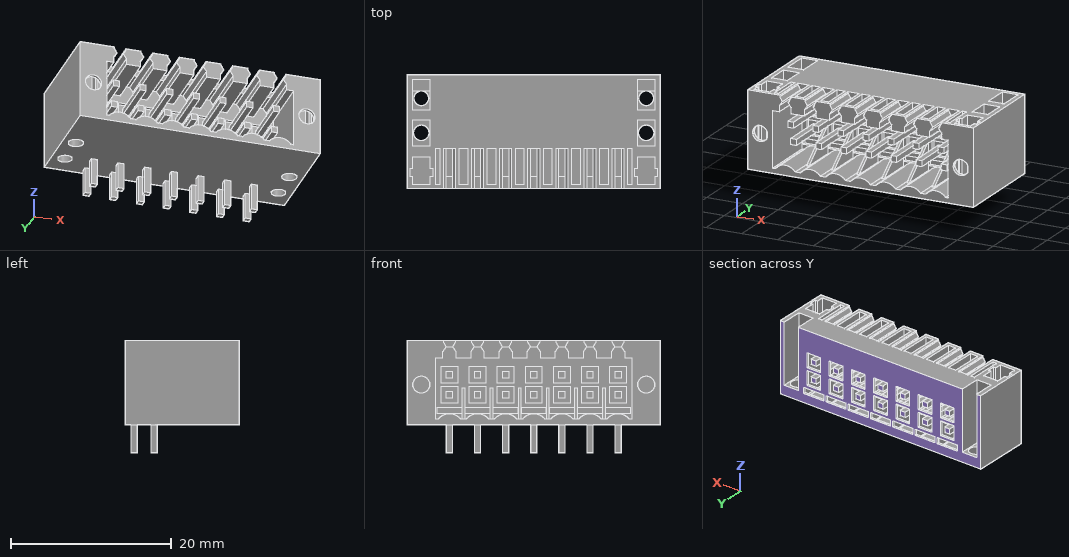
import cadquery as cq

POLES = 7
PITCH = 3.5
LENGTH = 31.5
DEPTH = 14.2
HEIGHT = 10.5
FRONT_Y = -DEPTH / 2
BACK_Y = DEPTH / 2
POLE_XS = [(i - (POLES - 1) / 2) * PITCH for i in range(POLES)]
GAP_XS = [x + PITCH / 2 for x in POLE_XS[:-1]]

CAVITY_WIDTH = POLES * PITCH
CAVITY_DEPTH = 8.0
CAVITY_FLOOR_Z = 0.7
CAVITY_TOP_Z = 8.3
CAVITY_BACK_Y = FRONT_Y + CAVITY_DEPTH

KEY_BOTTOM_HALF = 0.83
KEY_NECK_HALF = 0.4
KEY_TOP_HALF = 0.755
KEY_SHOULDER_Z = 9.1
KEY_NECK_Z = 9.7
KEY_LIP_HEIGHT = 0.2
KEY_LENGTH = 5.0

HUMP_WIDTH = 2.8
HUMP_HEIGHT = 0.67

RIB_THICKNESS = 0.35
RIB_TOP_Z = 4.55
RIB_FOOT_FROM_FRONT = 2.75

PIN_SIZE = 0.8
LEG_LENGTH = 3.5
LOWER_PIN_Z = 3.72
ROW_SPACING = 2.53
LOWER_TIP_FROM_FRONT = 2.3
UPPER_TIP_FROM_FRONT = 1.5
UPPER_LEG_FROM_BACK = 1.1
LEG_SPACING = 2.5

RECESS_DEPTH = 0.5
PIN_RECESS_WIDTH = 2.1
PIN_RECESS_HEIGHT = 2.05
LOW_RECESS_WIDTH = 3.1
LOW_RECESS_HEIGHT = 0.8

ROOF_POCKET_WIDTH = 1.1
ROOF_POCKET_DEPTH = 1.5
POCKET_FRONT_WALL = 0.52

FLANGE_X = CAVITY_WIDTH / 2 + PITCH / 2
FLANGE_POCKET_WIDTH = 2.2
REAR_POCKET_FROM_BACK = 0.6
REAR_POCKET_LENGTH = 3.8
REAR_LEDGE_LENGTH = 1.45
REAR_LEDGE_DEPTH = 4.0
FLANGE_POCKET_FLOOR_Z = 1.5
FLANGE_POCKET_DEPTH = HEIGHT - FLANGE_POCKET_FLOOR_Z
REAR_HOLE_FROM_BACK = 2.95
REAR_HOLE_DIAMETER = 1.8
MIDDLE_POCKET_FROM_BACK = 5.65
MIDDLE_POCKET_LENGTH = 3.23
MIDDLE_HOLE_FROM_BACK = 7.25
MIDDLE_HOLE_DIAMETER = 1.9
LATCH_POCKET_LENGTH = 3.45
LATCH_WING_WIDTH = 2.87
LATCH_WING_LENGTH = 0.97
LATCH_WING_FROM_FRONT = 1.53
SCREW_HOLE_DIAMETER = 2.1
SCREW_HOLE_Z = 5.0


def block(x_range, y_range, z_range):
    """Box between pairs of limits along X, Y and Z."""
    (x0, x1), (y0, y1), (z0, z1) = x_range, y_range, z_range
    return cq.Workplane("XY").box(x1 - x0, y1 - y0, z1 - z0, centered=False).translate((x0, y0, z0))


def around(center, size):
    """Limits of a span of the given size centred on a value."""
    return (center - size / 2, center + size / 2)


def front_profile():
    """Workplane on the front face; a negative extrusion distance runs toward +Y."""
    return cq.Workplane("XZ", origin=(0, FRONT_Y, 0))


def roof_pocket(x_range, y_range, depth):
    """Rectangular pocket sunk into the top face."""
    return block(x_range, y_range, (HEIGHT - depth, HEIGHT))


def plug_cavity():
    """Box cavity whose floor carries one rounded hump per pole."""
    cavity = block(around(0, CAVITY_WIDTH), (FRONT_Y, CAVITY_BACK_Y), (CAVITY_FLOOR_Z, CAVITY_TOP_Z))
    for x in POLE_XS:
        hump = (
            front_profile()
            .moveTo(x - HUMP_WIDTH / 2, CAVITY_FLOOR_Z)
            .threePointArc((x, CAVITY_FLOOR_Z + HUMP_HEIGHT), (x + HUMP_WIDTH / 2, CAVITY_FLOOR_Z))
            .close()
            .extrude(-CAVITY_DEPTH)
        )
        cavity = cavity.cut(hump)
    return cavity


def keyway(x):
    """Slot that narrows to a neck and widens to a straight lip; above the neck it is shorter."""
    lip_z = HEIGHT - KEY_LIP_HEIGHT
    lower = (
        front_profile()
        .polyline([
            (x - KEY_BOTTOM_HALF, CAVITY_TOP_Z),
            (x - KEY_BOTTOM_HALF, KEY_SHOULDER_Z),
            (x - KEY_NECK_HALF, KEY_NECK_Z),
            (x + KEY_NECK_HALF, KEY_NECK_Z),
            (x + KEY_BOTTOM_HALF, KEY_SHOULDER_Z),
            (x + KEY_BOTTOM_HALF, CAVITY_TOP_Z),
        ])
        .close()
        .extrude(-CAVITY_DEPTH)
    )
    upper = (
        front_profile()
        .polyline([
            (x - KEY_NECK_HALF, KEY_NECK_Z),
            (x - KEY_TOP_HALF, lip_z),
            (x - KEY_TOP_HALF, HEIGHT),
            (x + KEY_TOP_HALF, HEIGHT),
            (x + KEY_TOP_HALF, lip_z),
            (x + KEY_NECK_HALF, KEY_NECK_Z),
        ])
        .close()
        .extrude(-KEY_LENGTH)
    )
    return lower.union(upper)


def back_wall_recesses(x):
    """Square recess around each pin and a low slot resting on the hump crest."""
    y_range = (CAVITY_BACK_Y, CAVITY_BACK_Y + RECESS_DEPTH)
    crest_z = CAVITY_FLOOR_Z + HUMP_HEIGHT
    recesses = block(around(x, LOW_RECESS_WIDTH), y_range, (crest_z, crest_z + LOW_RECESS_HEIGHT))
    for z in (LOWER_PIN_Z, LOWER_PIN_Z + ROW_SPACING):
        pin_recess = block(around(x, PIN_RECESS_WIDTH), y_range, around(z, PIN_RECESS_HEIGHT))
        recesses = recesses.union(pin_recess)
    return recesses


def roof_pockets():
    """Full pockets between keyways and a half-width pocket at each end of the cavity."""
    y_range = (FRONT_Y + POCKET_FRONT_WALL, FRONT_Y + KEY_LENGTH)
    half_width = ROOF_POCKET_WIDTH / 2
    cavity_end = CAVITY_WIDTH / 2
    pockets = roof_pocket((-cavity_end, -cavity_end + half_width), y_range, ROOF_POCKET_DEPTH)
    pockets = pockets.union(roof_pocket((cavity_end - half_width, cavity_end), y_range, ROOF_POCKET_DEPTH))
    for x in GAP_XS:
        pockets = pockets.union(roof_pocket(around(x, ROOF_POCKET_WIDTH), y_range, ROOF_POCKET_DEPTH))
    return pockets


def mounting_hole(x, y, diameter):
    """Vertical hole through the whole housing height."""
    return cq.Workplane("XY").center(x, y).circle(diameter / 2).extrude(HEIGHT)


def flange_cuts(x):
    """Two mounting pockets with through holes, a winged latch pocket and a screw hole
    through the front wall into the latch pocket."""
    width = around(x, FLANGE_POCKET_WIDTH)
    rear_end = BACK_Y - REAR_POCKET_FROM_BACK
    rear_start = rear_end - REAR_POCKET_LENGTH
    ledge_y = rear_end - REAR_LEDGE_LENGTH
    middle_end = BACK_Y - MIDDLE_POCKET_FROM_BACK
    latch_start = FRONT_Y + POCKET_FRONT_WALL
    wing_start = FRONT_Y + LATCH_WING_FROM_FRONT
    return [
        roof_pocket(width, (ledge_y, rear_end), REAR_LEDGE_DEPTH),
        roof_pocket(width, (rear_start, ledge_y), FLANGE_POCKET_DEPTH),
        mounting_hole(x, BACK_Y - REAR_HOLE_FROM_BACK, REAR_HOLE_DIAMETER),
        roof_pocket(width, (middle_end - MIDDLE_POCKET_LENGTH, middle_end), FLANGE_POCKET_DEPTH),
        mounting_hole(x, BACK_Y - MIDDLE_HOLE_FROM_BACK, MIDDLE_HOLE_DIAMETER),
        roof_pocket(width, (latch_start, latch_start + LATCH_POCKET_LENGTH), FLANGE_POCKET_DEPTH),
        roof_pocket(
            around(x, LATCH_WING_WIDTH), (wing_start, wing_start + LATCH_WING_LENGTH), FLANGE_POCKET_DEPTH
        ),
        front_profile().center(x, SCREW_HOLE_Z).circle(SCREW_HOLE_DIAMETER / 2).extrude(-POCKET_FRONT_WALL),
    ]


def rib(x):
    """Triangular rib rising from the cavity floor to the back wall."""
    return (
        cq.Workplane("YZ", origin=(x - RIB_THICKNESS / 2, 0, 0))
        .polyline([
            (FRONT_Y + RIB_FOOT_FROM_FRONT, CAVITY_FLOOR_Z),
            (CAVITY_BACK_Y, RIB_TOP_Z),
            (CAVITY_BACK_Y, CAVITY_FLOOR_Z),
        ])
        .close()
        .extrude(RIB_THICKNESS)
    )


def pin(x, z, tip_from_front, leg_y):
    """Right-angle pin: a contact in the cavity and a leg below the housing."""
    contact = block(
        around(x, PIN_SIZE), (FRONT_Y + tip_from_front, leg_y + PIN_SIZE / 2), around(z, PIN_SIZE)
    )
    leg = block(around(x, PIN_SIZE), around(leg_y, PIN_SIZE), (-LEG_LENGTH, z + PIN_SIZE / 2))
    return contact.union(leg)


def build():
    """Housing with its cavity, pockets, ribs and contact pins."""
    part = block(around(0, LENGTH), around(0, DEPTH), (0, HEIGHT))
    part = part.cut(plug_cavity())
    part = part.cut(roof_pockets())
    for x in POLE_XS:
        part = part.cut(keyway(x)).cut(back_wall_recesses(x))
    for x in (-FLANGE_X, FLANGE_X):
        for cut in flange_cuts(x):
            part = part.cut(cut)
    for x in GAP_XS:
        part = part.union(rib(x))
    upper_leg_y = BACK_Y - UPPER_LEG_FROM_BACK
    for x in POLE_XS:
        part = part.union(pin(x, LOWER_PIN_Z, LOWER_TIP_FROM_FRONT, upper_leg_y - LEG_SPACING))
        part = part.union(pin(x, LOWER_PIN_Z + ROW_SPACING, UPPER_TIP_FROM_FRONT, upper_leg_y))
    return part


result = build()